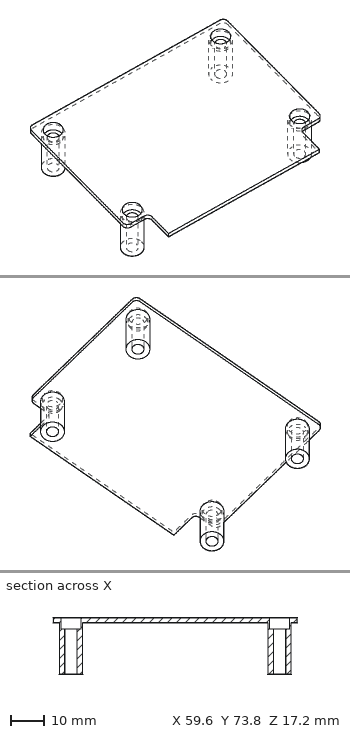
import cadquery as cq

body_length = 49.6
tab_length = 10.0
plate_width = 73.8
tab_width = 56.8
plate_thickness = 1.6
corner_radius = 1.6

total_height = 17.2
post_diameter = 7.2
bore_diameter = 3.6
counterbore_diameter = 6.0
counterbore_depth = 3.4
post_spacing_x = 40.0
post_edge_offset = 5.4

post_height = total_height - plate_thickness
post_spacing_y = plate_width - 2 * post_edge_offset
post_rows_x = (post_edge_offset, post_edge_offset + post_spacing_x)
post_rows_y = (-post_spacing_y / 2, post_spacing_y / 2)
post_centers = [(x, y) for x in post_rows_x for y in post_rows_y]


def make_plate():
    """Plate with its underside on Z = 0 and a narrower tab on the +X side."""
    body = (
        cq.Workplane("XY")
        .rect(body_length, plate_width)
        .extrude(plate_thickness)
        .translate((body_length / 2, 0, 0))
    )
    full_length = body_length + tab_length
    tab = (
        cq.Workplane("XY")
        .rect(full_length, tab_width)
        .extrude(plate_thickness)
        .translate((full_length / 2, 0, 0))
    )
    return body.union(tab).edges("|Z").edges("not >X").fillet(corner_radius)


def make_posts():
    """Round posts hanging below the plate."""
    return (
        cq.Workplane("XY")
        .pushPoints(post_centers)
        .circle(post_diameter / 2)
        .extrude(-post_height)
    )


def cut_screw_holes(part):
    """Through bore in every post, counterbored from the top of the plate."""
    return (
        part.faces(">Z")
        .workplane(origin=(0, 0, 0))
        .pushPoints(post_centers)
        .cboreHole(bore_diameter, counterbore_diameter, counterbore_depth)
    )


result = cut_screw_holes(make_plate().union(make_posts()))